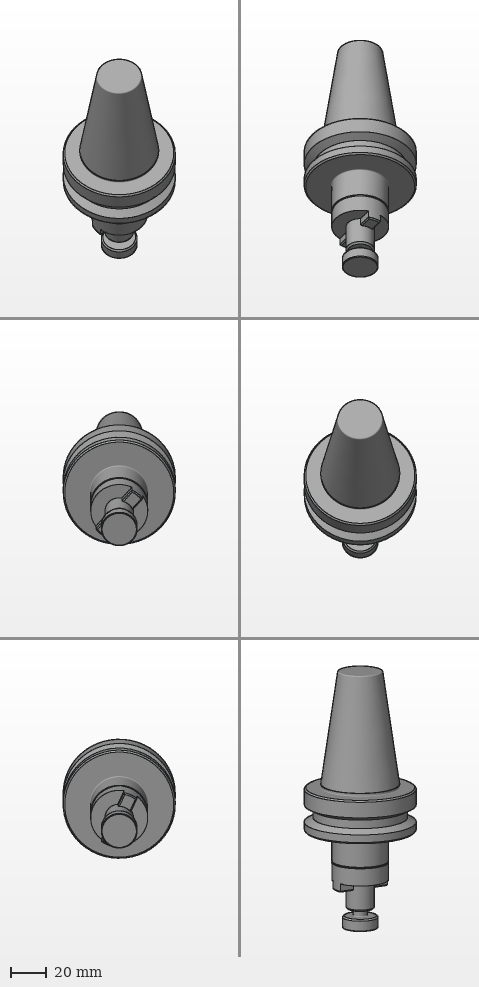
import cadquery as cq
import math

total_height = 148.4

taper_length = 65.5
taper_radius = 22.3
taper_ratio = 7 / 48
taper_end_fillet = 0.7
relief_radius = 21.8
relief_height = 2.0
taper_base_fillet = 0.5
gauge_z = total_height - taper_length
taper_end_radius = taper_radius - taper_length * taper_ratio

flange_diameter = 63.0
flange_radius = flange_diameter / 2
flange_chamfer = 0.9
flange_height = 25.1
flange_top_z = gauge_z - relief_height
flange_bottom_z = flange_top_z - flange_height
groove_center_z = 66.2
groove_floor_width = 4.9
groove_depth = 4.9
groove_slope_angle = 27.0
groove_floor_radius = flange_radius - groove_depth
groove_floor_half = groove_floor_width / 2
groove_mouth_half = groove_floor_half + groove_depth * math.tan(math.radians(groove_slope_angle))

shoulder_radius = 16.0
shoulder_bottom_z = 38.3
shoulder_fillet = 0.6
joint_chamfer = 0.5
spigot_radius = 8.0
spigot_bottom_z = 11.0
spigot_chamfer = 1.0

neck_radius = 4.0
head_radius = 10.1
head_height = 7.0
head_top_chamfer = 0.9
head_bottom_chamfer = 0.5
neck_fillet = 0.5

ring_bottom_z = 27.9
key_width = 8.0
key_height = 4.9
key_chamfer = 0.7
key_bottom_z = ring_bottom_z - key_height


def disc(radius, bottom_z, top_z):
    return cq.Workplane("XY").workplane(offset=bottom_z).circle(radius).extrude(top_z - bottom_z)


def make_taper():
    profile = (
        cq.Workplane("XZ")
        .moveTo(0, flange_top_z)
        .lineTo(relief_radius, flange_top_z)
        .lineTo(relief_radius, gauge_z)
        .lineTo(taper_radius, gauge_z)
        .lineTo(taper_end_radius, total_height)
        .lineTo(0, total_height)
        .close()
    )
    taper = profile.revolve(360, (0, 0), (0, 1))
    return taper.faces(">Z").edges().fillet(taper_end_fillet)


def make_flange():
    flange = disc(flange_radius, flange_bottom_z, flange_top_z)
    flange = flange.faces("<Z or >Z").edges().chamfer(flange_chamfer)
    groove = (
        cq.Workplane("XZ")
        .moveTo(groove_floor_radius, groove_center_z - groove_floor_half)
        .lineTo(flange_radius, groove_center_z - groove_mouth_half)
        .lineTo(flange_radius, groove_center_z + groove_mouth_half)
        .lineTo(groove_floor_radius, groove_center_z + groove_floor_half)
        .close()
        .revolve(360, (0, 0), (0, 1))
    )
    return flange.cut(groove)


def make_shoulder():
    shoulder = disc(shoulder_radius, shoulder_bottom_z, flange_bottom_z)
    return shoulder.faces("<Z").edges().chamfer(joint_chamfer)


def make_screw():
    head = disc(head_radius, 0, head_height)
    head = head.faces(">Z").edges().chamfer(head_top_chamfer)
    head = head.faces("<Z").edges().chamfer(head_bottom_chamfer)
    screw = head.union(disc(neck_radius, head_height, spigot_bottom_z))
    neck_root = cq.selectors.BoxSelector(
        (-neck_radius - neck_fillet, -neck_radius - neck_fillet, head_height - neck_fillet),
        (neck_radius + neck_fillet, neck_radius + neck_fillet, head_height + neck_fillet),
        boundingbox=True,
    )
    return screw.edges(neck_root).fillet(neck_fillet)


def make_arbor():
    spigot = disc(spigot_radius, spigot_bottom_z, shoulder_bottom_z)
    spigot = spigot.faces("<Z").edges().chamfer(spigot_chamfer)
    arbor = make_taper().union(make_flange()).union(make_shoulder())
    taper_base = cq.selectors.NearestToPointSelector((0, 0, flange_top_z))
    arbor = arbor.edges("%CIRCLE").edges(taper_base).fillet(taper_base_fillet)
    flange_underside = cq.selectors.NearestToPointSelector((0, 0, flange_bottom_z))
    arbor = arbor.edges("%CIRCLE").edges(flange_underside).fillet(shoulder_fillet)
    return arbor.union(spigot).union(make_screw())


def make_drive_ring():
    ring = disc(shoulder_radius, ring_bottom_z, shoulder_bottom_z)
    ring = ring.faces(">Z").edges().chamfer(joint_chamfer)
    keys = disc(shoulder_radius, key_bottom_z, ring_bottom_z)
    key_bar = cq.Workplane("XY").workplane(offset=key_bottom_z).rect(key_width, 2 * shoulder_radius)
    keys = keys.intersect(key_bar.extrude(key_height))
    keys = keys.faces("<Z").edges().chamfer(key_chamfer)
    bore = disc(spigot_radius, key_bottom_z, shoulder_bottom_z)
    return ring.union(keys).cut(bore)


arbor = make_arbor()
drive_ring = make_drive_ring()
result = cq.Compound.makeCompound([arbor.solids().val(), drive_ring.solids().val()])